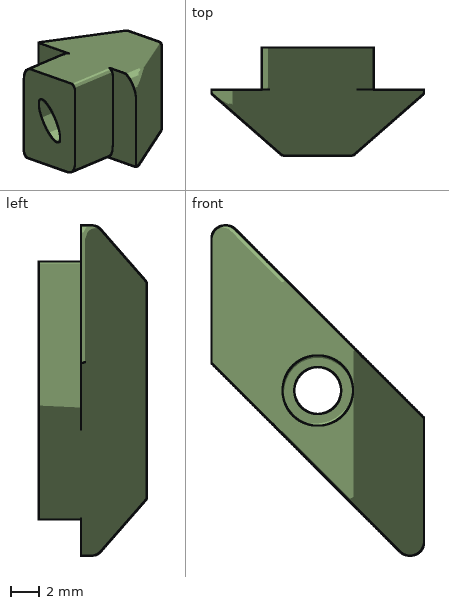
import cadquery as cq
import math

width = 15.11
tip_to_tip = 23.47
tip_radius = 1.0
body_depth = 4.7
side_land = 0.28
front_width = 5.02
edge_radius = 0.3

tab_height = 3.0
tab_width = 7.98
tab_tip_radius = 0.3
tab_corner_radius = tab_width / 2

bore_diameter = 3.3
seat_diameter = 5.0
seat_depth = 0.47
seat_fillet = 0.28

total_depth = body_depth + tab_height
margin = 0.05

sharp_tip_z = tip_to_tip / 2 + tip_radius * math.sqrt(2)
slant_offset = sharp_tip_z - width / 2


def slanted_prism(prism_width, y_start, length):
    """Parallelogram with vertical sides and 45 degree ends, extruded toward +Y."""
    half = prism_width / 2
    corners = [
        (-half, half - slant_offset),
        (half, -half - slant_offset),
        (half, -half + slant_offset),
        (-half, half + slant_offset),
    ]
    plane = cq.Workplane("XZ", origin=(0, y_start, 0))
    return plane.polyline(corners).close().extrude(-length)


def tip_edges(prism_width):
    """Selector for the two acute corner edges of a slanted prism."""
    x = prism_width / 2
    z = x + slant_offset
    upper = cq.selectors.BoxSelector(
        (-x - margin, -margin, z - margin), (-x + margin, total_depth, z + margin)
    )
    lower = cq.selectors.BoxSelector(
        (x - margin, -margin, -z - margin), (x + margin, total_depth, -z + margin)
    )
    return upper + lower


def make_body():
    wedge_outline = [
        (-width / 2, body_depth),
        (-width / 2, body_depth - side_land),
        (-front_width / 2, 0),
        (front_width / 2, 0),
        (width / 2, body_depth - side_land),
        (width / 2, body_depth),
    ]
    wedge = cq.Workplane("XY").polyline(wedge_outline).close().extrude(2 * sharp_tip_z, both=True)
    body = slanted_prism(width, 0, body_depth).edges("|Y").edges(tip_edges(width)).fillet(tip_radius)
    body = body.intersect(wedge)
    front_edges = cq.selectors.BoxSelector(
        (-width, -margin, -tip_to_tip), (width, body_depth - side_land + margin, tip_to_tip)
    )
    return body.edges(front_edges).edges("not |Y").fillet(edge_radius)


def make_tab():
    tab = slanted_prism(tab_width, body_depth, tab_height)
    tab = tab.edges("|Y").edges(tip_edges(tab_width)).fillet(tab_tip_radius)
    half = tab_width / 2
    for side in (-1, 1):
        corner = (side * half, body_depth + tab_height / 2, side * (slant_offset - half))
        tab = tab.edges(cq.selectors.NearestToPointSelector(corner)).fillet(tab_corner_radius)
    return tab


def make_screw_hole():
    bore = cq.Workplane("XZ").circle(bore_diameter / 2).extrude(-total_depth)
    seat = cq.Workplane("XZ").circle(seat_diameter / 2).extrude(-seat_depth)
    return bore.union(seat.faces(">Y").edges().fillet(seat_fillet))


result = make_body().union(make_tab()).cut(make_screw_hole())